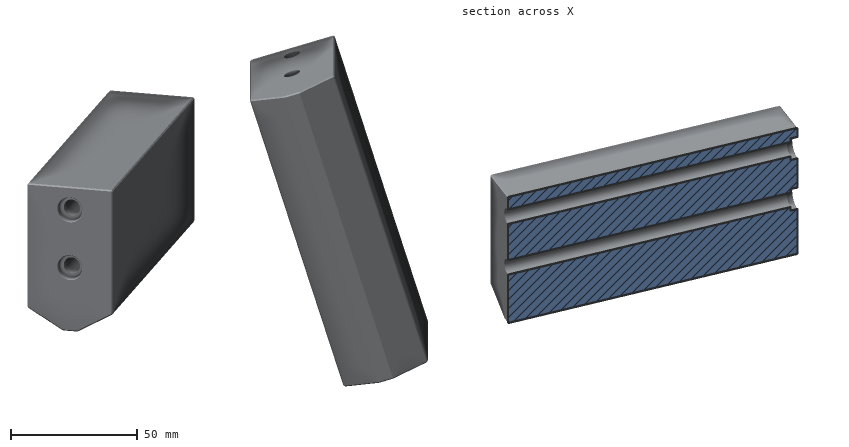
import cadquery as cq
import math

width = 35.0
length = 125.0
height = 60.0
edge_chamfer = 0.5

bottom_flat = 6.0
taper_angle = 30.0
taper_height = (width - bottom_flat) / 2 * math.tan(math.radians(taper_angle))

hole_diameter = 6.6
counterbore_diameter = 10.0
counterbore_depth = 3.0
mouth_chamfer = 0.19
hole_spacing = 24.0
upper_hole_drop = 9.5
upper_hole_z = height - upper_hole_drop
hole_heights = [upper_hole_z, upper_hole_z - hole_spacing]


def tapered_block():
    """Constant profile along Y, chamfered except along the edges of the bottom flat."""
    profile = [
        (-width / 2, height),
        (-width / 2, taper_height),
        (-bottom_flat / 2, 0),
        (bottom_flat / 2, 0),
        (width / 2, taper_height),
        (width / 2, height),
    ]
    block = cq.Workplane("XZ").polyline(profile).close().extrude(length / 2, both=True)
    return block.edges("not (|Y and <Z)").chamfer(edge_chamfer)


def counterbored_hole(axis_height):
    """Cutter for a through hole along Y, with a chamfered counterbore at the -Y end."""
    front = cq.Workplane("XZ", origin=(0, -length / 2, axis_height))
    bore = front.circle(hole_diameter / 2).extrude(-length)
    counterbore = front.circle(counterbore_diameter / 2).extrude(-counterbore_depth)
    mouth = (
        front.circle(counterbore_diameter / 2 + mouth_chamfer)
        .workplane(offset=-mouth_chamfer)
        .circle(counterbore_diameter / 2)
        .loft()
    )
    return bore.union(counterbore).union(mouth)


result = tapered_block()
for hole_z in hole_heights:
    result = result.cut(counterbored_hole(hole_z))